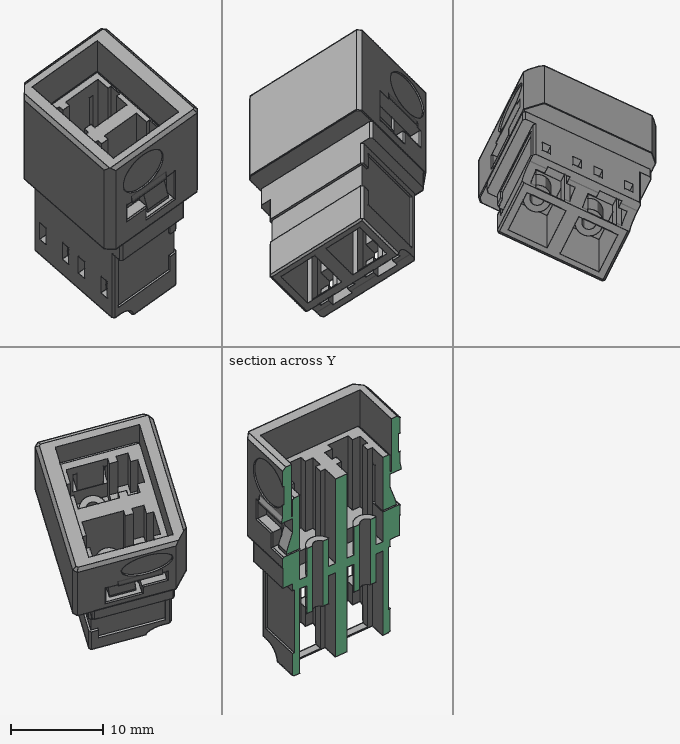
import cadquery as cq


HOUSING_WIDTH = 15.6
HOUSING_DEPTH = 13.19
HOUSING_BOTTOM = 16.1
HOUSING_TOP = 30.5
EDGE_BEVEL = 0.42
BASE_BEVEL_HEIGHT = 0.14
BASE_BEVEL_INSET = 0.05
LEFT_CORNER_WIDTH = 1.73
LEFT_CORNER_DEPTH = 1.64
RIGHT_CORNER = 0.9

INSERT_WIDTH = 12.98
INSERT_FRONT = -4.85
INSERT_BACK = 4.46
INSERT_TOP = 25.53
INSERT_BEVEL = 0.24
END_BEVEL_HEIGHT = 0.2
FLANGE_WIDTH = 15.46
FLANGE_BOTTOM = 13.25

CLEARANCE = 0.1
CLEARANCE_BOTTOM = 23.0

PORT_SPACING = 6.25
PORT_WIDTH = 4.7
PORT_FRONT = -1.04
PORT_BACK = 3.64
NECK_WIDTH = 3.47
WING_FRONT = -3.34
WING_BACK = -2.0
LATCH_WIDTH = 2.66
LATCH_FRONT = -4.14
KEY_WIDTH = 1.4
KEY_BACK = 4.06
KEY_LENGTH = 8.0
LATCH_STEP = 2.0
WALL_THICKNESS = 1.4
BORE_Y = 1.28
BORE_DIAMETER = 1.55
SLEEVE_DIAMETER = 3.05
SLEEVE_HEIGHT = 4.0

LATCH_WINDOW_BOTTOM = 4.63
LATCH_WINDOW_TOP = 7.55

RELIEF_BACK = -1.91
RELIEF_TOP = 1.96
SILL_HEIGHT = 0.18

LABEL_DEPTH = 0.24
LABEL_FRONT = -4.13
LABEL_BACK = 3.42
LABEL_BOTTOM = 3.37
LABEL_TOP = 12.27
LABEL_BAND_BOTTOM = 5.86
LABEL_BAND_TOP = 9.82

WINDOW_BACK = 2.9
WINDOW_STEP = -1.12
WINDOW_FRONT = -3.95
WINDOW_BOTTOM = 17.72
WINDOW_LEDGE = 19.83
WINDOW_TOP = 22.6
WINDOW_BEVEL = 0.15
RIDGE_HEIGHT = 0.15
RIDGE_BACK = 1.6
RIDGE_FRONT = -3.42
RIDGE_CREST = 22.87
RIDGE_TOP = 23.6
MARK_DIAMETER = 5.8
MARK_DEPTH = 0.2
MARK_Y = -1.68
MARK_Z = 26.55

TONGUE_BACK = 2.42
TONGUE_FRONT = -0.56
TONGUE_SLOT = 0.47
TONGUE_SLOT_TOP = 23.3
TONGUE_BOTTOM = 17.85
TONGUE_LIP = 18.28
TONGUE_RAMP_TOP = 20.73
TONGUE_REACH = 0.8

SIDES = (-1, 1)
HOUSING_SIDE = HOUSING_WIDTH / 2
HOUSING_HALF_DEPTH = HOUSING_DEPTH / 2
INSERT_SIDE = INSERT_WIDTH / 2
PORT_OUTER_SIDE = (PORT_SPACING + PORT_WIDTH) / 2
WALL_BOTTOM = (INSERT_TOP - WALL_THICKNESS) / 2
WALL_TOP = WALL_BOTTOM + WALL_THICKNESS


def block(x_range, y_range, z_range):
    """Axis-aligned box from two opposite limits on each axis."""
    x0, x1 = sorted(x_range)
    y0, y1 = sorted(y_range)
    z0, z1 = sorted(z_range)
    return cq.Workplane("XY").box(x1 - x0, y1 - y0, z1 - z0, centered=False).translate((x0, y0, z0))


def centred_block(x_centre, width, y_range, z_range):
    """Box given by its centre and width along X."""
    return block((x_centre - width / 2, x_centre + width / 2), y_range, z_range)


def corner_wedge(side, width, depth):
    """Full-height triangular prism that cuts off one front corner of the housing."""
    x = side * HOUSING_SIDE
    y = -HOUSING_HALF_DEPTH
    return (
        cq.Workplane("XY", origin=(0, 0, HOUSING_BOTTOM))
        .polyline([(x, y), (x - side * width, y), (x, y + depth)])
        .close()
        .extrude(HOUSING_TOP - HOUSING_BOTTOM)
    )


def make_housing():
    """Solid housing with bevelled edges, a wide left and a narrow right front corner."""
    housing = centred_block(
        0, HOUSING_WIDTH, (-HOUSING_HALF_DEPTH, HOUSING_HALF_DEPTH), (HOUSING_BOTTOM, HOUSING_TOP)
    )
    housing = housing.edges("|Z and >Y").chamfer(EDGE_BEVEL)
    housing = housing.faces(">Z").edges().chamfer(EDGE_BEVEL)
    housing = housing.cut(corner_wedge(-1, LEFT_CORNER_WIDTH, LEFT_CORNER_DEPTH))
    housing = housing.cut(corner_wedge(1, RIGHT_CORNER, RIGHT_CORNER))
    return housing.faces("<Z").edges().chamfer(BASE_BEVEL_INSET, BASE_BEVEL_HEIGHT)


def make_housing_cavity():
    """Open pocket above the insert, running on as a narrow gap around its upper end."""
    return centred_block(
        0,
        INSERT_WIDTH + 2 * CLEARANCE,
        (INSERT_FRONT - CLEARANCE, INSERT_BACK + CLEARANCE),
        (CLEARANCE_BOTTOM, HOUSING_TOP),
    )


def window_outline(margin):
    """Corner points of the stepped window, grown by margin on all sides but the top."""
    back = WINDOW_BACK + margin
    front = WINDOW_FRONT - margin
    step = WINDOW_STEP - margin
    bottom = WINDOW_BOTTOM - margin
    ledge = WINDOW_LEDGE - margin
    return [
        (back, WINDOW_TOP),
        (front, WINDOW_TOP),
        (front, ledge),
        (step, ledge),
        (step, bottom),
        (back, bottom),
    ]


def make_side_window(side):
    """Window through a housing side wall with a bevelled mouth."""
    opening = cq.Workplane("YZ", origin=(side * HOUSING_SIDE, 0, 0)).polyline(window_outline(0)).close()
    through_wall = opening.extrude(-side * (HOUSING_SIDE - INSERT_SIDE))
    mouth = (
        cq.Workplane("YZ", origin=(side * HOUSING_SIDE, 0, 0))
        .polyline(window_outline(WINDOW_BEVEL))
        .close()
        .workplane(offset=-side * WINDOW_BEVEL)
        .polyline(window_outline(0))
        .close()
        .loft(ruled=True)
    )
    return through_wall.union(mouth)


def make_ridge(side):
    """Low wedge-shaped grip ridge just above a side window."""
    base = side * HOUSING_SIDE
    crest = side * (HOUSING_SIDE + RIDGE_HEIGHT)
    return (
        cq.Workplane("XZ", origin=(0, RIDGE_BACK, 0))
        .polyline([(base, WINDOW_TOP), (crest, WINDOW_TOP), (crest, RIDGE_CREST), (base, RIDGE_TOP)])
        .close()
        .extrude(RIDGE_BACK - RIDGE_FRONT)
    )


def make_round_mark(side):
    """Shallow round recess in a housing side."""
    return (
        cq.Workplane("YZ", origin=(side * HOUSING_SIDE, MARK_Y, MARK_Z))
        .circle(MARK_DIAMETER / 2)
        .extrude(-side * MARK_DEPTH)
    )


def make_insert():
    """Solid insert with bevelled corners, bevelled ends on sides and back, and its flange."""
    y_range = (INSERT_FRONT, INSERT_BACK)
    insert = centred_block(0, INSERT_WIDTH, y_range, (0, INSERT_TOP)).edges("|Z").chamfer(INSERT_BEVEL)
    flange = centred_block(0, FLANGE_WIDTH, y_range, (FLANGE_BOTTOM, HOUSING_BOTTOM + BASE_BEVEL_HEIGHT))
    return insert.union(flange.edges("|Z").chamfer(INSERT_BEVEL))


def make_end_bevels():
    """Wedges that bevel the side and back edges at both insert ends."""
    y_length = INSERT_BACK - INSERT_FRONT
    bevels = cq.Workplane("XY")
    for end, inward in ((0, 1), (INSERT_TOP, -1)):
        height = inward * END_BEVEL_HEIGHT
        for side in SIDES:
            x = side * INSERT_SIDE
            bevels = bevels.add(
                cq.Workplane("XZ", origin=(0, INSERT_BACK, 0))
                .polyline([(x, end), (x - side * INSERT_BEVEL, end), (x, end + height)])
                .close()
                .extrude(y_length)
            )
        bevels = bevels.add(
            cq.Workplane("YZ", origin=(-INSERT_SIDE, 0, 0))
            .polyline([(INSERT_BACK, end), (INSERT_BACK - INSERT_BEVEL, end), (INSERT_BACK, end + height)])
            .close()
            .extrude(INSERT_WIDTH)
        )
    return bevels.combine()


def make_relief():
    """Quarter-round relief across the lower front edge of the insert."""
    return (
        cq.Workplane("YZ", origin=(-INSERT_SIDE, 0, 0))
        .moveTo(INSERT_FRONT, 0)
        .lineTo(INSERT_FRONT, RELIEF_TOP)
        .lineTo(RELIEF_BACK - RELIEF_TOP, RELIEF_TOP)
        .radiusArc((RELIEF_BACK, 0), RELIEF_TOP)
        .close()
        .extrude(INSERT_WIDTH)
    )


def make_label_recess():
    """Shallow recess in both insert sides joined by a band across the back."""
    back_floor = INSERT_BACK - LABEL_DEPTH
    band = (LABEL_BAND_BOTTOM, LABEL_BAND_TOP)
    recess = centred_block(0, INSERT_WIDTH, (back_floor, INSERT_BACK), band)
    for side in SIDES:
        x_range = (side * (INSERT_SIDE - LABEL_DEPTH), side * INSERT_SIDE)
        recess = recess.union(block(x_range, (LABEL_FRONT, LABEL_BACK), (LABEL_BOTTOM, LABEL_TOP)))
        recess = recess.union(block(x_range, (LABEL_BACK, INSERT_BACK), band))
    return recess


def make_port(x, wall_end, open_end, sill=0):
    """Plug cavity from one insert end to the middle wall, leaving a sleeve around the bore.

    The neck and wings stop short of the open end by the height of the sill.
    """
    direction = 1 if open_end > wall_end else -1
    z_range = (wall_end, open_end)
    latch_z_range = (wall_end + direction * LATCH_STEP, open_end - direction * sill)
    port = centred_block(x, PORT_WIDTH, (PORT_FRONT, PORT_BACK), z_range)
    port = port.union(centred_block(x, NECK_WIDTH, (WING_BACK, PORT_FRONT), latch_z_range))
    port = port.union(centred_block(x, PORT_WIDTH, (WING_FRONT, WING_BACK), latch_z_range))
    port = port.union(centred_block(x, LATCH_WIDTH, (LATCH_FRONT, WING_FRONT), latch_z_range))
    sleeve = (
        cq.Workplane("XY", origin=(x, BORE_Y, wall_end))
        .circle(SLEEVE_DIAMETER / 2)
        .extrude(direction * SLEEVE_HEIGHT)
    )
    return port.cut(sleeve)


def make_key_slot(x):
    """Keyway in the back wall of an upper port."""
    return centred_block(x, KEY_WIDTH, (PORT_BACK, KEY_BACK), (INSERT_TOP - KEY_LENGTH, INSERT_TOP))


def make_bore(x):
    """Through bore joining the upper and lower port."""
    return cq.Workplane("XY", origin=(x, BORE_Y, 0)).circle(BORE_DIAMETER / 2).extrude(INSERT_TOP)


def make_latch_windows(x):
    """Pair of slots from the front face into the wings of a lower port."""
    width = (PORT_WIDTH - LATCH_WIDTH) / 2
    offset = (PORT_WIDTH - width) / 2
    y_range = (INSERT_FRONT, WING_FRONT)
    z_range = (LATCH_WINDOW_BOTTOM, LATCH_WINDOW_TOP)
    left = centred_block(x - offset, width, y_range, z_range)
    return left.union(centred_block(x + offset, width, y_range, z_range))


def make_tongue_slots(side):
    """U-shaped slot through an insert side that frees the tongue."""
    x_range = (side * PORT_OUTER_SIDE, side * INSERT_SIDE)
    y_range = (TONGUE_FRONT - TONGUE_SLOT, TONGUE_BACK + TONGUE_SLOT)
    outer = block(x_range, y_range, (WINDOW_BOTTOM, TONGUE_SLOT_TOP))
    return outer.cut(block(x_range, (TONGUE_FRONT, TONGUE_BACK), (TONGUE_BOTTOM, TONGUE_SLOT_TOP)))


def make_tongue_lip(side):
    """Sloped catch on the outside of a tongue."""
    base = side * INSERT_SIDE
    tip = side * (INSERT_SIDE + TONGUE_REACH)
    return (
        cq.Workplane("XZ", origin=(0, TONGUE_BACK, 0))
        .polyline([(base, TONGUE_BOTTOM), (tip, TONGUE_BOTTOM), (tip, TONGUE_LIP), (base, TONGUE_RAMP_TOP)])
        .close()
        .extrude(TONGUE_BACK - TONGUE_FRONT)
    )


insert = make_insert().cut(make_end_bevels()).cut(make_relief()).cut(make_label_recess())

result = make_housing().cut(make_housing_cavity())
for side in SIDES:
    result = result.cut(make_side_window(side)).cut(make_round_mark(side))
    result = result.union(make_ridge(side))
result = result.union(insert)

for side in SIDES:
    result = result.cut(make_tongue_slots(side)).union(make_tongue_lip(side))

for side in SIDES:
    port_x = side * PORT_SPACING / 2
    result = result.cut(make_port(port_x, WALL_TOP, INSERT_TOP))
    result = result.cut(make_port(port_x, WALL_BOTTOM, 0, SILL_HEIGHT))
    result = result.cut(make_key_slot(port_x))
    result = result.cut(make_latch_windows(port_x)).cut(make_bore(port_x))